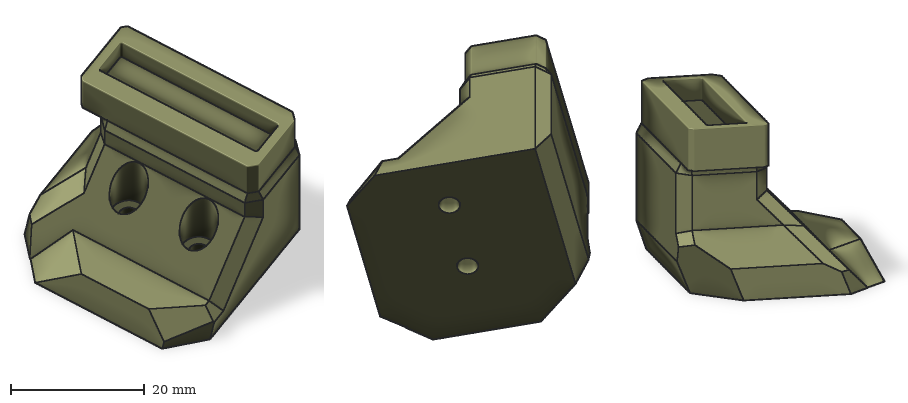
import cadquery as cq

WIDTH = 34.0
DEPTH = 32.0
HEIGHT = 26.6
OVERSIZE = 3 * WIDTH

FOOT_HEIGHT = 5.0
FOOT_LEAN = 2.0
LEFT_CORNER_X = 6.25
LEFT_CORNER_Y = 6.73
RIGHT_CORNER_X = 5.03
RIGHT_CORNER_Y = 5.37

TOE_LEFT_X = 13.23
TOE_LEFT_REAR_X = 7.7
TOE_RIGHT_X = 25.25
TOE_RIGHT_REAR_Y = 7.2
TOE_RIGHT_TIP_HEIGHT = 1.22

COLUMN_LEFT = 5.0
COLUMN_DEPTH = 14.0
BEVEL = 2.0
TAPER_BOTTOM = 18.5
COLUMN_TOP = 20.0
TAPER_INSET = 0.78

RAMP_TOP = 15.0
RAMP_FOOT_RUN = 9.75

HOLE_X = (13.25, 25.77)
HOLE_Y = 15.0
HOLE_DIAMETER = 3.2
BORE_DIAMETER = 5.8
BORE_FLOOR = FOOT_HEIGHT

HOLDER_LEFT = 1.77
HOLDER_LEFT_CORNER = 0.75
HOLDER_EDGE_RADIUS = 0.4
RIM_RADIUS = 0.25
POCKET_LENGTH = 28.15
POCKET_WIDTH = 6.02
POCKET_DEPTH = 3.5
POCKET_CORNER_RADIUS = 0.35
POCKET_CENTER_X = 17.48

COLUMN_FRONT = DEPTH - COLUMN_DEPTH
LEDGE_REAR = COLUMN_FRONT - RAMP_FOOT_RUN
WING_TOP = FOOT_HEIGHT + COLUMN_LEFT
LEAN_RATE = FOOT_LEAN / FOOT_HEIGHT
FOOT_REAR = DEPTH - FOOT_LEAN

LEFT = cq.Vector(-1, 0, 0)
RIGHT = cq.Vector(1, 0, 0)
BACK = cq.Vector(0, 1, 0)
UP = cq.Vector(0, 0, 1)
RAMP_NORMAL = cq.Vector(0, FOOT_HEIGHT - RAMP_TOP, RAMP_FOOT_RUN).normalized()
WING_NORMAL = cq.Vector(-1, 0, 1).normalized()


def block(x_min, x_max, y_min, y_max, z_max):
    """A box that stands on the ground plane."""
    size = (x_max - x_min, y_max - y_min, z_max)
    return cq.Workplane("XY").box(*size, centered=False).translate((x_min, y_min, 0))


def trim(body, point, normal):
    """Remove all of the body beyond the plane through a point, on the side the normal points to."""
    plane = cq.Plane(origin=point, normal=normal)
    return body.cut(cq.Workplane(plane).rect(OVERSIZE, OVERSIZE).extrude(OVERSIZE))


def trim_through(body, first, second, third):
    """Remove the part above the plane through three points."""
    origin = cq.Vector(first)
    normal = (cq.Vector(second) - origin).cross(cq.Vector(third) - origin)
    return trim(body, origin, normal if normal.z > 0 else -normal)


def bevel(body, edge_point, normal_a, normal_b):
    """Bevel the edge between two faces, back to where each face meets the other's inward offset."""
    normal = normal_a + normal_b
    setback = normal * (BEVEL / normal.dot(normal))
    return trim(body, cq.Vector(edge_point) - setback, normal)


def leaning_foot(height):
    """The foot's outline, extruded along its lean to any height."""
    outline = [
        (LEFT_CORNER_X, 0),
        (0, LEFT_CORNER_Y),
        (0, FOOT_REAR - LEFT_CORNER_Y),
        (LEFT_CORNER_X, FOOT_REAR),
        (WIDTH, FOOT_REAR),
        (WIDTH, RIGHT_CORNER_Y),
        (WIDTH - RIGHT_CORNER_X, 0),
    ]
    base = cq.Wire.makePolygon([cq.Vector(x, y, 0) for x, y in outline], close=True)
    lean = cq.Vector(0, LEAN_RATE * height, height)
    return cq.Workplane(cq.Solid.extrudeLinear(base, [], lean))


def column_outline(inset):
    """The column's section; its bevel corners keep their place along each side when it is inset."""
    left, right = COLUMN_LEFT + inset, WIDTH - inset
    front, back = COLUMN_FRONT + inset, DEPTH - inset
    corner = BEVEL - inset
    return [
        (left + corner, front),
        (right - corner, front),
        (right, front + corner),
        (right, back - corner),
        (right - corner, back),
        (left + corner, back),
        (left, back - corner),
        (left, front + corner),
    ]


def make_column():
    shaft = (
        cq.Workplane("XY", origin=(0, 0, FOOT_HEIGHT))
        .polyline(column_outline(0)).close()
        .extrude(TAPER_BOTTOM - FOOT_HEIGHT)
    )
    taper = (
        cq.Workplane("XY", origin=(0, 0, TAPER_BOTTOM))
        .polyline(column_outline(0)).close()
        .workplane(offset=COLUMN_TOP - TAPER_BOTTOM)
        .polyline(column_outline(TAPER_INSET)).close()
        .loft(ruled=True)
    )
    return shaft.union(taper)


def make_ramp():
    """The part below the ramp face and between the column's side walls."""
    ramp = block(COLUMN_LEFT, WIDTH, 0, DEPTH, RAMP_TOP)
    ramp = trim(ramp, (0, COLUMN_FRONT, RAMP_TOP), RAMP_NORMAL)
    for side_x, side in ((COLUMN_LEFT, LEFT), (WIDTH, RIGHT)):
        ramp = bevel(ramp, (side_x, COLUMN_FRONT, RAMP_TOP), side, RAMP_NORMAL)
        ramp = bevel(ramp, (side_x, DEPTH, 0), side, BACK)
    return ramp.intersect(leaning_foot(RAMP_TOP))


def make_wing():
    """The low part that spreads out to the left of the column."""
    wing = block(0, COLUMN_LEFT + BEVEL, 0, DEPTH, WING_TOP)
    wing = trim(wing, (0, COLUMN_FRONT, RAMP_TOP), RAMP_NORMAL)
    wing = trim(wing, (0, 0, FOOT_HEIGHT), WING_NORMAL)
    wing = bevel(wing, (0, LEDGE_REAR, FOOT_HEIGHT), WING_NORMAL, RAMP_NORMAL)
    wing = bevel(wing, (0, DEPTH, FOOT_HEIGHT), WING_NORMAL, BACK)
    return wing.intersect(leaning_foot(WING_TOP))


def make_toe():
    """The ledge in front of the ramp."""
    toe = block(0, WIDTH, 0, LEDGE_REAR + BEVEL, FOOT_HEIGHT).intersect(leaning_foot(FOOT_HEIGHT))
    toe = bevel(toe, (WIDTH, 0, FOOT_HEIGHT), RIGHT, UP)
    toe = trim_through(
        toe,
        (TOE_LEFT_X, FOOT_LEAN, FOOT_HEIGHT),
        (TOE_LEFT_REAR_X, LEDGE_REAR, FOOT_HEIGHT),
        (LEFT_CORNER_X, 0, 0),
    )
    right_tip_y = LEAN_RATE * TOE_RIGHT_TIP_HEIGHT
    return trim_through(
        toe,
        (TOE_RIGHT_X, FOOT_LEAN, FOOT_HEIGHT),
        (WIDTH - BEVEL, TOE_RIGHT_REAR_Y, FOOT_HEIGHT),
        (WIDTH - RIGHT_CORNER_X, right_tip_y, TOE_RIGHT_TIP_HEIGHT),
    )


def make_base():
    base = make_column().union(make_ramp()).union(make_wing()).union(make_toe())
    centers = [(x, HOLE_Y) for x in HOLE_X]
    holes = cq.Workplane("XY").pushPoints(centers).circle(HOLE_DIAMETER / 2).extrude(COLUMN_TOP)
    bores = (
        cq.Workplane("XY", origin=(0, 0, BORE_FLOOR))
        .pushPoints(centers).circle(BORE_DIAMETER / 2).extrude(RAMP_TOP - BORE_FLOOR)
    )
    return base.cut(holes).cut(bores)


def make_holder():
    right = WIDTH - TAPER_INSET
    front, back = COLUMN_FRONT + TAPER_INSET, DEPTH - TAPER_INSET
    right_corner = BEVEL - TAPER_INSET
    holder = block(HOLDER_LEFT, right, front, back, HEIGHT - COLUMN_TOP)
    holder = holder.translate((0, 0, COLUMN_TOP))
    holder = holder.edges("|Z and <X").chamfer(HOLDER_LEFT_CORNER)
    holder = holder.edges("|Z and >X").chamfer(right_corner)
    holder = holder.edges("|Z").fillet(HOLDER_EDGE_RADIUS)
    holder = holder.faces(">Z").edges().fillet(RIM_RADIUS)
    pocket = (
        cq.Workplane("XY", origin=(POCKET_CENTER_X, (front + back) / 2, HEIGHT - POCKET_DEPTH))
        .rect(POCKET_LENGTH, POCKET_WIDTH).extrude(POCKET_DEPTH)
        .edges("|Z").fillet(POCKET_CORNER_RADIUS)
    )
    return holder.cut(pocket).faces(">Z").wires().item(1).fillet(RIM_RADIUS)


base = make_base()
holder = make_holder()
result = cq.Compound.makeCompound([base.val(), holder.val()])